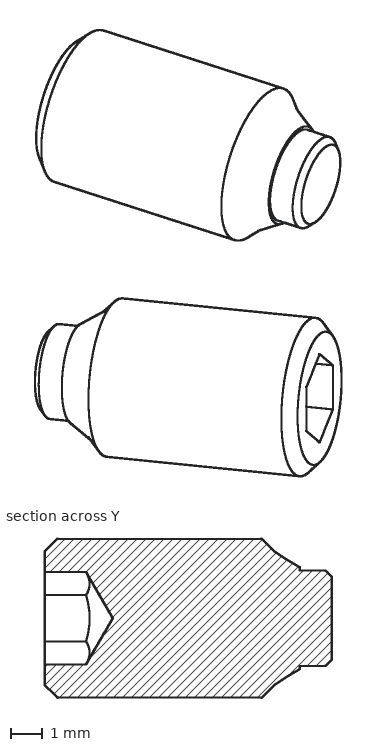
import cadquery as cq
import math

total_length = 9.0
body_radius = 2.5
socket_chamfer = 0.4
shoulder_chamfer = 0.4
neck_length = 0.8
neck_end_radius = 1.6
pilot_length = 1.0
pilot_radius = 1.5
pilot_chamfer = 0.2

socket_across_flats = 2.5
socket_depth = 1.3
socket_cone_angle = 120.0

pilot_start = total_length - pilot_length
neck_start = pilot_start - neck_length
shoulder_start = neck_start - shoulder_chamfer


def make_body():
    """Revolve the half outline of the screw about the X axis."""
    outline = (
        cq.Workplane("XY")
        .lineTo(0, body_radius - socket_chamfer)
        .lineTo(socket_chamfer, body_radius)
        .lineTo(shoulder_start, body_radius)
        .lineTo(neck_start, body_radius - shoulder_chamfer)
        .lineTo(pilot_start, neck_end_radius)
        .lineTo(pilot_start, pilot_radius)
        .lineTo(total_length - pilot_chamfer, pilot_radius)
        .lineTo(total_length, pilot_radius - pilot_chamfer)
        .lineTo(total_length, 0)
        .close()
    )
    return outline.revolve(360, (0, 0), (1, 0))


def make_socket():
    """Hexagonal prism, corners pointing to +Z and -Z, ending in a cone."""
    corner_radius = socket_across_flats / math.sqrt(3)
    cone_depth = corner_radius / math.tan(math.radians(socket_cone_angle / 2))
    tip = socket_depth + cone_depth

    prism = (
        cq.Workplane("YZ")
        .polygon(6, 2 * corner_radius)
        .extrude(tip)
        .rotate((0, 0, 0), (1, 0, 0), 90)
    )
    pointed_cylinder = (
        cq.Workplane("XY")
        .polyline([(0, 0), (0, corner_radius), (socket_depth, corner_radius), (tip, 0)])
        .close()
        .revolve(360, (0, 0), (1, 0))
    )
    return prism.intersect(pointed_cylinder)


result = make_body().cut(make_socket())